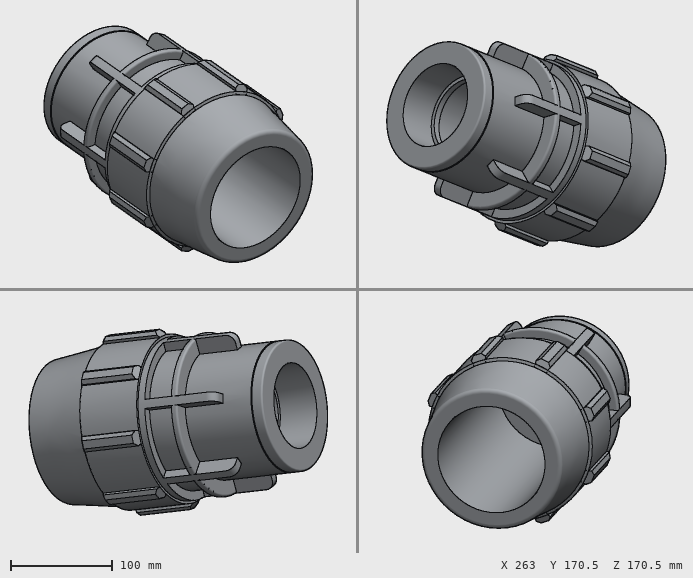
import cadquery as cq
import math


length = 263.0
height = 170.5

hidden_overlap = 2.5

barrel_radius = 130.5 / 2
face_fillet = 1.8
groove_start = 12.0
groove_width = 0.8
groove_depth = 0.5

flange_radius = 162.8 / 2
ring_start = 87.5
ring_width = 7.4
ring_fillet = 2.0
collar_radius = 72.0
flange_start = 124.1

fin_count = 6
fin_start = 44.7
fin_thickness = 9.2
fin_corner_radius = 9.2

nut_radius = 84.2
nut_start = 131.8
nut_end = 196.5
nut_bevel_length = 1.0
nose_start = nut_end + nut_bevel_length

nose_large_radius = 81.0
nose_small_radius = 72.3
nose_end = 258.5
tip_round = length - nose_end

grip_count = 8
grip_shoulder = 86.8
grip_top_half_width = 4.2
grip_shoulder_half_width = 8.0
grip_foot_half_width = 6.8
grip_foot_depth = 0.5
grip_front_setback = 5.0
grip_rear_setback = 4.0

grip_tilt = math.pi / grip_count
grip_top = (height / 2 - grip_top_half_width * math.sin(grip_tilt)) / math.cos(grip_tilt)

spigot_bore_radius = 85.0 / 2
lip_bore_radius = 77.0 / 2
socket_radius = 110.0 / 2
lip_start = 41.5
lip_width = 7.0
lip_end = lip_start + lip_width


def x_cylinder(radius, start, end):
    """Solid cylinder on the X axis between two stations."""
    return cq.Workplane("YZ", origin=(start, 0, 0)).circle(radius).extrude(end - start)


def around_axis(shape, count, first_angle):
    """Equally spaced copies of a shape around the X axis, fused together."""
    copies = cq.Workplane("XY")
    for i in range(count):
        angle = first_angle + i * 360.0 / count
        copies = copies.add(shape.rotate((0, 0, 0), (1, 0, 0), angle))
    return copies.combine()


def make_barrel():
    barrel = x_cylinder(barrel_radius, 0, ring_start + ring_width)
    barrel = barrel.faces("<X").edges().fillet(face_fillet)
    groove_end = groove_start + groove_width
    groove = x_cylinder(barrel_radius, groove_start, groove_end).cut(
        x_cylinder(barrel_radius - groove_depth, groove_start, groove_end)
    )
    return barrel.cut(groove)


def make_rings():
    ring = x_cylinder(flange_radius, ring_start, ring_start + ring_width).edges().fillet(ring_fillet)
    collar = x_cylinder(collar_radius, ring_start + ring_width / 2, flange_start)
    flange = x_cylinder(flange_radius, flange_start, nut_start)
    return ring.union(collar).union(flange)


def make_fins():
    """Radial fins whose outer faces lie flush with the ring and the flange."""
    root_radius = barrel_radius - hidden_overlap
    blank_radius = flange_radius + hidden_overlap
    fin_end = (flange_start + nut_start) / 2
    blank = (
        cq.Workplane("XY", origin=(0, 0, -fin_thickness / 2))
        .moveTo(fin_start, root_radius)
        .lineTo(fin_end, root_radius)
        .lineTo(fin_end, blank_radius)
        .lineTo(fin_start, blank_radius)
        .close()
        .extrude(fin_thickness)
    )
    envelope = x_cylinder(flange_radius, fin_start, fin_end)
    envelope = envelope.faces("<X").edges().fillet(fin_corner_radius)
    return around_axis(blank.intersect(envelope), fin_count, 0)


def make_nut():
    """Nut sleeve with a short steep bevel, a conical nose and a rounded tip."""
    round_offset = tip_round * math.sin(math.radians(45))
    tip_radius = nose_small_radius - tip_round
    return (
        cq.Workplane("XY")
        .moveTo(nut_start, 0)
        .lineTo(nut_start, nut_radius)
        .lineTo(nut_end, nut_radius)
        .lineTo(nose_start, nose_large_radius)
        .lineTo(nose_end, nose_small_radius)
        .threePointArc((nose_end + round_offset, tip_radius + round_offset), (length, tip_radius))
        .lineTo(length, 0)
        .close()
        .revolve(360, (0, 0, 0), (1, 0, 0))
    )


def make_grips():
    """Grip ribs with a dovetail foot, a bevelled top and sloping ends."""
    root = nut_radius - 2 * hidden_overlap
    right_side = [
        (grip_foot_half_width, root),
        (grip_foot_half_width, nut_radius - grip_foot_depth),
        (grip_shoulder_half_width, grip_shoulder),
        (grip_top_half_width, grip_top),
    ]
    left_side = [(-y, z) for y, z in reversed(right_side)]
    section = (
        cq.Workplane("YZ", origin=(nut_start, 0, 0))
        .polyline(right_side + left_side)
        .close()
        .extrude(nose_start - nut_start)
    )
    side_outline = [
        (nut_start, root),
        (nut_start, nut_radius),
        (nut_start + grip_front_setback, grip_top),
        (nose_start - grip_rear_setback, grip_top),
        (nose_start, nose_large_radius),
        (nose_start, root),
    ]
    side = (
        cq.Workplane("XZ")
        .polyline(side_outline)
        .close()
        .extrude(grip_shoulder_half_width, both=True)
    )
    return around_axis(section.intersect(side), grip_count, 180.0 / grip_count)


def make_bore():
    entry = x_cylinder(spigot_bore_radius, 0, lip_start)
    lip = x_cylinder(lip_bore_radius, lip_start, lip_end)
    socket = x_cylinder(socket_radius, lip_end, length)
    return entry.union(lip).union(socket)


body = make_barrel().union(make_rings()).union(make_fins())
body = body.union(make_nut()).union(make_grips())
result = body.cut(make_bore())